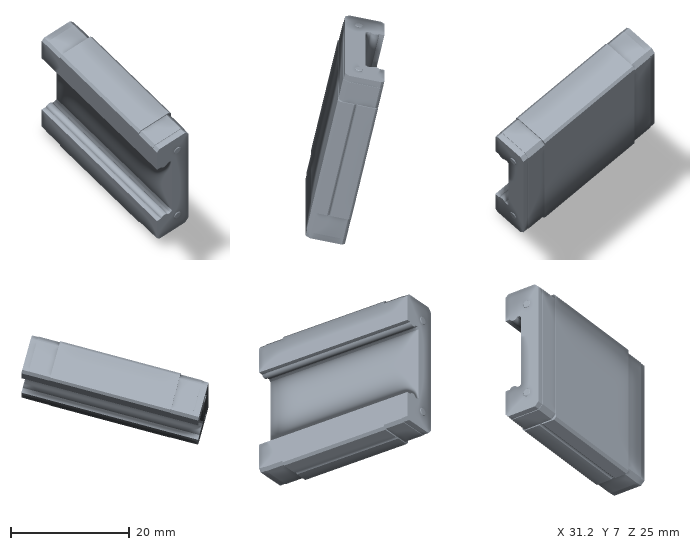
import cadquery as cq

length = 31.2
depth = 7.0
height = 25.0

block_length = 21.12
cap_length = 28.7
pin_projection = 0.12
seal_length = length - 2 * pin_projection
block_chamfer = 0.45
cap_inset_z = 0.22
cap_inset_y = 0.1
cap_front_chamfer = 0.53
cap_back_chamfer = 0.8
seal_inset_z = 0.3
seal_inset_y = 0.2
seal_front_chamfer = 0.53
seal_back_chamfer = 0.72

channel_depth = 3.25
channel_half_height = 7.0
channel_corner_chamfer = 0.35
bead_y = 1.62
bead_half_width = 0.75
bead_height = 0.45

groove_y = 3.8
groove_depth = 0.35

pin_y = 4.4
pin_z = 8.83
pin_radius = 0.72
pin_chamfer = 0.1


def extrude_along_x(profile_length, points):
    """Extrude a closed YZ outline symmetrically about X = 0."""
    return cq.Workplane("YZ").polyline(points).close().extrude(profile_length / 2, both=True)


def body_section(section_length, inset_y, inset_z, front_chamfer, back_chamfer):
    """Solid bar with its front face on Y = 0 and four chamfered long edges."""
    back = depth - inset_y
    top = height / 2 - inset_z
    upper = [
        (0, top - front_chamfer),
        (front_chamfer, top),
        (back - back_chamfer, top),
        (back, top - back_chamfer),
    ]
    lower = [(y, -z) for y, z in reversed(upper)]
    return extrude_along_x(section_length, upper + lower)


def rail_channel():
    """Channel void, narrowed by the bead on each wall."""
    wall = channel_half_height
    shoulder_y = channel_depth - channel_corner_chamfer
    shoulder_z = wall - channel_corner_chamfer
    bead_front = bead_y - bead_half_width
    bead_back = bead_y + bead_half_width
    bead_tip = wall - bead_height
    return (
        cq.Workplane("YZ")
        .moveTo(0, wall)
        .lineTo(bead_front, wall)
        .threePointArc((bead_y, bead_tip), (bead_back, wall))
        .lineTo(shoulder_y, wall)
        .lineTo(channel_depth, shoulder_z)
        .lineTo(channel_depth, -shoulder_z)
        .lineTo(shoulder_y, -wall)
        .lineTo(bead_back, -wall)
        .threePointArc((bead_y, -bead_tip), (bead_front, -wall))
        .lineTo(0, -wall)
        .close()
        .extrude(length / 2, both=True)
    )


def reference_groove():
    """V groove with 45 degree flanks, running the length of the central block."""
    bottom = -height / 2
    return extrude_along_x(
        block_length,
        [
            (groove_y - groove_depth, bottom),
            (groove_y, bottom + groove_depth),
            (groove_y + groove_depth, bottom),
        ],
    )


def pins():
    """Two pins through the body, with chamfered heads beyond both end faces."""
    return (
        cq.Workplane("YZ")
        .pushPoints([(pin_y, pin_z), (pin_y, -pin_z)])
        .circle(pin_radius)
        .extrude(length / 2, both=True)
        .faces("<X or >X")
        .edges()
        .chamfer(pin_chamfer)
    )


block = body_section(block_length, 0, 0, block_chamfer, block_chamfer)
caps = body_section(cap_length, cap_inset_y, cap_inset_z, cap_front_chamfer, cap_back_chamfer)
seals = body_section(seal_length, seal_inset_y, seal_inset_z, seal_front_chamfer, seal_back_chamfer)

body = block.union(caps).union(seals)
result = body.cut(rail_channel()).cut(reference_groove()).union(pins())